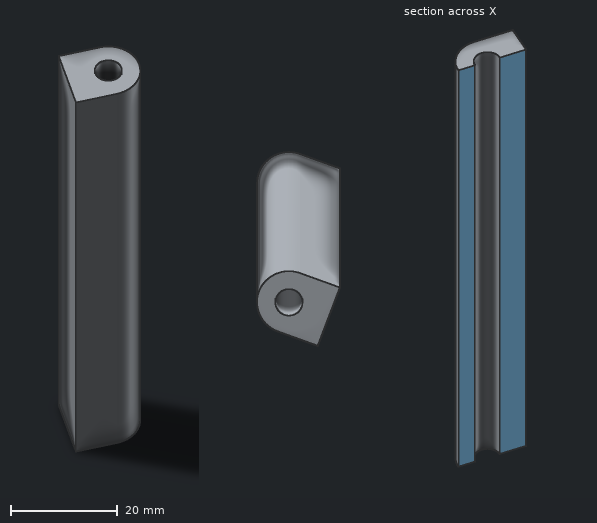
import cadquery as cq

length = 100.0
width = 12.0
depth = 14.0
bore_diameter = 5.1

crown_radius = width / 2
flat_depth = depth - crown_radius

bar = (
    cq.Workplane("XY")
    .moveTo(-crown_radius, 0)
    .lineTo(-crown_radius, -flat_depth)
    .lineTo(crown_radius, -flat_depth)
    .lineTo(crown_radius, 0)
    .threePointArc((0, crown_radius), (-crown_radius, 0))
    .close()
    .extrude(length)
)

bore = cq.Workplane("XY").circle(bore_diameter / 2).extrude(length)

result = bar.cut(bore)